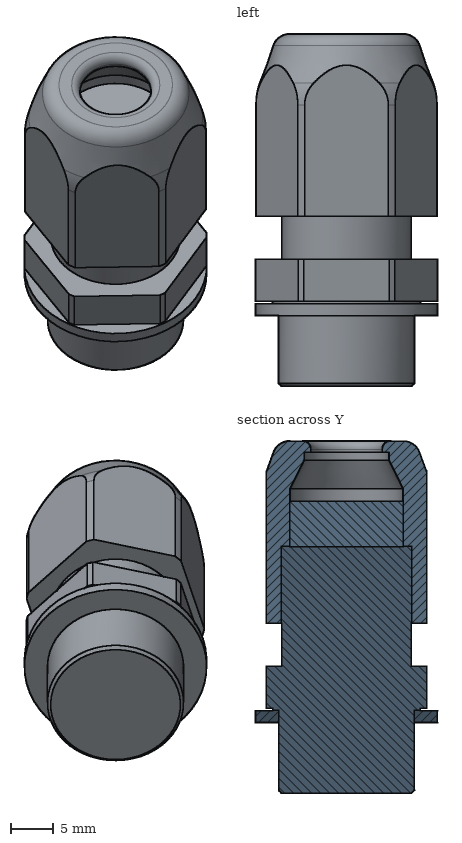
import cadquery as cq
import math

total_height = 41.6
washer_diameter = 21.5

across_flats = 18.95
nut_corner_radius = 10.7
hex_corner_radius = washer_diameter / 2

thread_radius = 8.03
thread_chamfer = 0.37
collar_radius = 8.75
collar_height = 0.25
hex_bottom = 10.03
hex_top = 15.0
neck_radius = 7.65
neck_top = 29.1

washer_radius = washer_diameter / 2
washer_thickness = 1.4
washer_top = hex_bottom - collar_height
washer_bottom = washer_top - washer_thickness

nut_bottom = 20.05
straight_top = 33.25
cone_bottom = 35.8
cone_bottom_radius = 10.25
cone_angle = 19.8
rim_fillet = 2.1

mouth_radius = 4.2
mouth_fillet = 1.0
lip_depth = 1.37
throat_radius = 5.0
throat_depth = 2.3
chamber_radius = 6.65
chamber_depth = 5.65
chamber_top = total_height - chamber_depth

seal_top = 34.5


def disc(radius, bottom, top):
    """Cylinder on the Z axis between two heights."""
    return cq.Workplane("XY").workplane(offset=bottom).circle(radius).extrude(top - bottom)


def hexagon(corner_radius, bottom, top):
    """Hexagonal prism whose corners are rounded to a common radius."""
    circumscribed_diameter = across_flats / math.cos(math.radians(30))
    prism = (
        cq.Workplane("XY")
        .workplane(offset=bottom)
        .transformed(rotate=(0, 0, 90))
        .polygon(6, circumscribed_diameter)
        .extrude(top - bottom)
    )
    return prism.intersect(disc(corner_radius, bottom, top))


def dome_envelope():
    """Revolved outside of the nut: cylinder, tangent arc, cone and rounded rim."""
    angle = math.radians(cone_angle)
    rim_radius = cone_bottom_radius - (total_height - cone_bottom) * math.tan(angle)
    profile = (
        cq.Workplane("XZ")
        .moveTo(0, nut_bottom)
        .lineTo(nut_corner_radius, nut_bottom)
        .lineTo(nut_corner_radius, straight_top)
        .tangentArcPoint((cone_bottom_radius, cone_bottom), relative=False)
        .lineTo(rim_radius, total_height)
        .lineTo(0, total_height)
        .close()
    )
    return profile.revolve(360, (0, 0, 0), (0, 1, 0)).faces(">Z").edges().fillet(rim_fillet)


def nut_cavity():
    """Revolved inside of the nut: mouth, throat, widening cone, chamber and neck bore."""
    throat_top = total_height - lip_depth
    profile = (
        cq.Workplane("XZ")
        .moveTo(0, nut_bottom)
        .lineTo(neck_radius, nut_bottom)
        .lineTo(neck_radius, neck_top)
        .lineTo(chamber_radius, neck_top)
        .lineTo(chamber_radius, chamber_top)
        .lineTo(throat_radius, total_height - throat_depth)
        .lineTo(throat_radius, throat_top)
        .lineTo(mouth_radius, throat_top)
        .lineTo(mouth_radius, total_height - mouth_fillet)
        .radiusArc((mouth_radius + mouth_fillet, total_height), mouth_fillet)
        .lineTo(0, total_height)
        .close()
    )
    return profile.revolve(360, (0, 0, 0), (0, 1, 0))


def make_dome_nut():
    prism = hexagon(nut_corner_radius, nut_bottom, total_height)
    return prism.intersect(dome_envelope()).cut(nut_cavity())


def make_gland_body():
    thread = disc(thread_radius, 0, washer_top).faces("<Z").edges().chamfer(thread_chamfer)
    collar = disc(collar_radius, washer_top, hex_bottom)
    wrench_hex = hexagon(hex_corner_radius, hex_bottom, hex_top)
    neck = disc(neck_radius, hex_top, neck_top)
    return thread.union(collar).union(wrench_hex).union(neck)


def make_washer():
    bore = disc(thread_radius, washer_bottom, washer_top)
    return disc(washer_radius, washer_bottom, washer_top).cut(bore)


def make_seal():
    return disc(chamber_radius, neck_top, seal_top)


dome_nut = make_dome_nut()
gland_body = make_gland_body()
washer = make_washer()
seal = make_seal()

result = cq.Compound.makeCompound([dome_nut.val(), gland_body.val(), washer.val(), seal.val()])